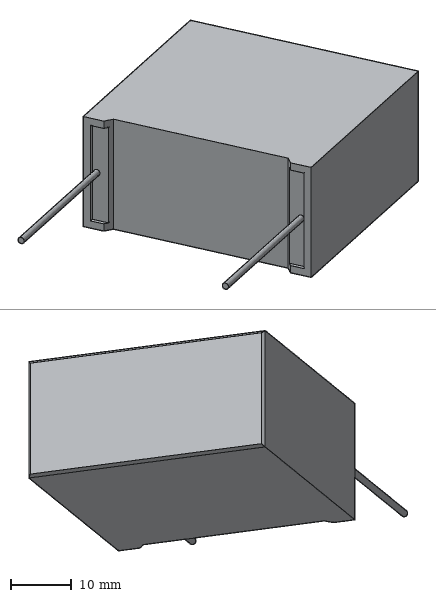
import cadquery as cq

case_width = 41.8
case_height = 20.2
overall_length = 67.1
lead_reach = 27.2
case_back = overall_length / 2
feet_front = lead_reach - overall_length / 2
back_chamfer = 0.5
wall = 1.35

recess_depth = 1.35
recess_floor_width = 32.0
foot_gap = 34.2
recess_floor = feet_front + recess_depth

fill_depth = 0.7
fill_front = feet_front + fill_depth
cavity_front = recess_floor + wall
cavity_back = case_back - wall
cavity_width = case_width - 2 * wall
cavity_height = case_height - 2 * wall

slope_run = (foot_gap - recess_floor_width) / 2
neck_inner = foot_gap / 2 - slope_run * fill_depth / recess_depth
neck_outer = cavity_width / 2

lead_diameter = 1.15
lead_spacing = 37.45


def block(width, height, front, back, x=0):
    """Box between two Y positions, centred on Z and on the given X."""
    return cq.Workplane("XY").box(width, back - front, height).translate((x, (front + back) / 2, 0))


def make_cavity_shape(neck_front):
    """Main block and two necks that reach forward to the given Y."""
    shape = block(cavity_width, cavity_height, cavity_front, cavity_back)
    neck_width = neck_outer - neck_inner
    for side in (-1, 1):
        neck_x = side * (neck_outer + neck_inner) / 2
        neck = block(neck_width, cavity_height, neck_front, cavity_back, neck_x)
        shape = shape.union(neck)
    return shape


def make_case():
    """Hollow box with a chamfered back, a front recess and an opening in each foot."""
    shell = block(case_width, case_height, feet_front, case_back).faces(">Y").chamfer(back_chamfer)
    recess = (
        cq.Workplane("XY", origin=(0, 0, -case_height / 2))
        .moveTo(-foot_gap / 2, feet_front)
        .lineTo(-recess_floor_width / 2, recess_floor)
        .lineTo(recess_floor_width / 2, recess_floor)
        .lineTo(foot_gap / 2, feet_front)
        .close()
        .extrude(case_height)
    )
    return shell.cut(recess).cut(make_cavity_shape(feet_front))


def make_potting():
    """Filling of the case, set back from the front of the feet."""
    return make_cavity_shape(fill_front)


def make_lead(x):
    """Round wire from the potting surface out to the front end."""
    return (
        cq.Workplane("XZ", origin=(x, fill_front, 0))
        .circle(lead_diameter / 2)
        .extrude(lead_reach + fill_depth)
    )


case = make_case()
potting = make_potting()
leads = [make_lead(side * lead_spacing / 2) for side in (-1, 1)]

result = cq.Compound.makeCompound([case.val(), potting.val(), *[lead.val() for lead in leads]])